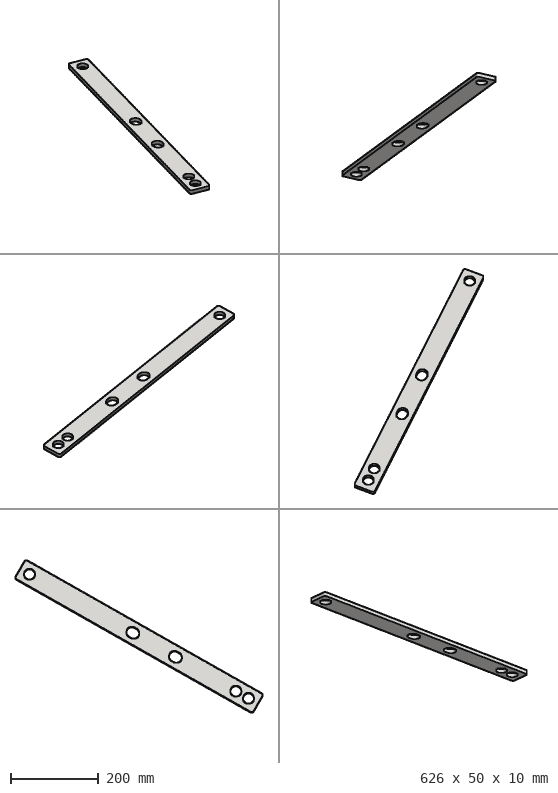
import cadquery as cq

length = 626.0
width = 50.0
thickness = 10.0
corner_radius = 5.0

hole_diameter = 25.0
round_hole_places = [25.0, 568.0, 601.0]
slot_length = 30.0
slot_places = [297.0, 409.0]


def centreline_points(places):
    return [(place - length / 2, 0) for place in places]


bar = cq.Workplane("XY").box(length, width, thickness)
bar = bar.edges("|Z").fillet(corner_radius)

bar = bar.faces(">Z").workplane().pushPoints(centreline_points(round_hole_places)).hole(hole_diameter)

slots = (
    cq.Workplane("XY")
    .pushPoints(centreline_points(slot_places))
    .slot2D(slot_length, hole_diameter)
    .extrude(thickness, both=True)
)

result = bar.cut(slots)